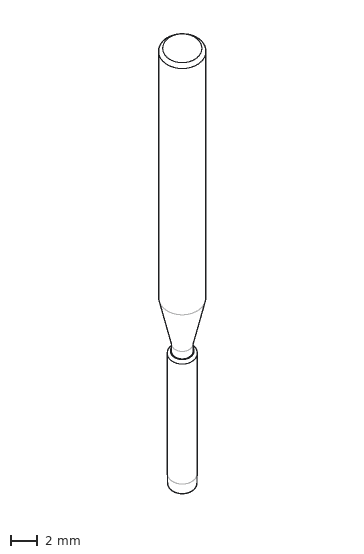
import cadquery as cq

TOTAL_LENGTH = 47.6

SHANK_DIAMETER = 3.5
SHANK_START = 20.33
SHANK_CHAMFER = 0.31

NECK_DIAMETER = 1.6
NECK_TOP = 15.3

HEAD_DIAMETER = 2.25
HEAD_LENGTH = 14.45
HEAD_BACK_CHAMFER = 0.25
LEAD_LENGTH = 1.1
LEAD_TIP_DIAMETER = 2.2

SHANK_RADIUS = SHANK_DIAMETER / 2
NECK_RADIUS = NECK_DIAMETER / 2
HEAD_RADIUS = HEAD_DIAMETER / 2
LEAD_TIP_RADIUS = LEAD_TIP_DIAMETER / 2


def revolve_profile(points):
    """Revolve a closed outline of (radius, height) points about the Z axis."""
    outline = cq.Workplane("XZ").polyline(points).close()
    return outline.revolve(360, (0, 0, 0), (0, 1, 0))


def make_shank():
    """Chamfered shank, narrowing through a cone to the neck above the head."""
    return revolve_profile([
        (0, HEAD_LENGTH),
        (NECK_RADIUS, HEAD_LENGTH),
        (NECK_RADIUS, NECK_TOP),
        (SHANK_RADIUS, SHANK_START),
        (SHANK_RADIUS, TOTAL_LENGTH - SHANK_CHAMFER),
        (SHANK_RADIUS - SHANK_CHAMFER, TOTAL_LENGTH),
        (0, TOTAL_LENGTH),
    ])


def make_cutting_head():
    """Cylindrical head with a slightly tapered lead and a chamfered back edge."""
    return revolve_profile([
        (0, 0),
        (LEAD_TIP_RADIUS, 0),
        (HEAD_RADIUS, LEAD_LENGTH),
        (HEAD_RADIUS, HEAD_LENGTH - HEAD_BACK_CHAMFER),
        (HEAD_RADIUS - HEAD_BACK_CHAMFER, HEAD_LENGTH),
        (0, HEAD_LENGTH),
    ])


shank = make_shank()
cutting_head = make_cutting_head()
result = cq.Compound.makeCompound([shank.val(), cutting_head.val()])